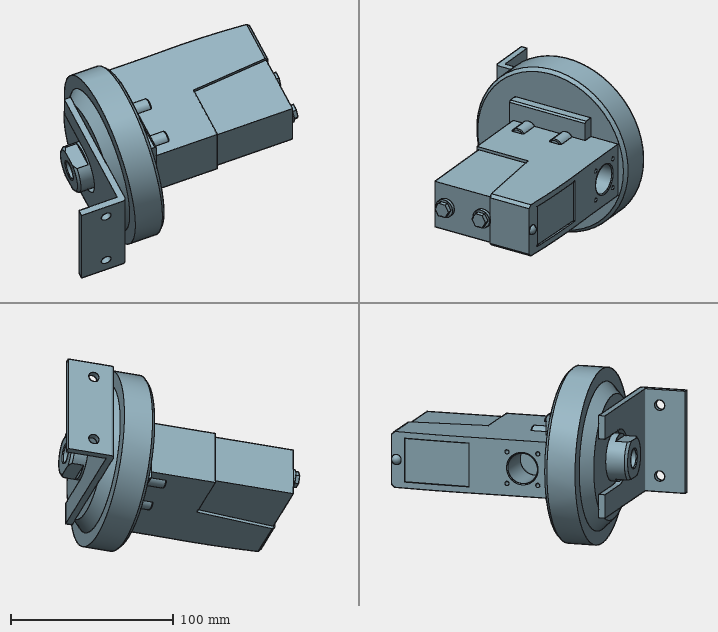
import cadquery as cq
import math


disc_diameter = 110.0
disc_radius = disc_diameter / 2
disc_thickness = 20.2
disc_chamfer = 2.1
cone_base_radius = 46.3
cone_length = 7.1
cone_front_y = -disc_thickness - cone_length

hub_radius = 14.9
hub_length = 13.6
hub_chamfer = 1.6
hub_flat_half_width = 12.0
hub_flat_length = 9.0
hub_bore_radius = 5.8
hub_bore_depth = 19.5
hub_bore_chamfer = 0.6

bracket_front_y = -57.2
bracket_left_x = -29.2
overall_width = 112.0
bracket_right_x = overall_width - disc_radius
bracket_half_height = 32.2
bracket_thickness = 4.2
bracket_seat_depth = 0.2
bracket_outer_radius = 2.3
bracket_inner_radius = 0.5
bracket_slot_radius = 17.5
bracket_hole_radius = 3.2
bracket_hole_y = -40.7
bracket_hole_z = 22.4

flange_center_x = -1.8
flange_center_z = 3.0
flange_width = 54.9
flange_thickness = 6.6
flange_chamfer = 1.1
stud_radius = 5.0
stud_end_y = 19.6
stud_chamfer = 0.6
stud_spacing_x = 27.2
stud_spacing_z = 30.1

housing_half_height = 17.7
housing_left_x = -49.0
housing_right_x = 23.0
bulge_start_y = 31.8
bulge_peak_y = 55.2
bulge_peak_x = -49.2
cover_rear_y = 100.8
cover_rear_x = -47.3
cover_chamfer = 2.0
cover_edge_front_x = -14.1
cover_edge_rear_x = -19.0
rear_box_front_y = 48.8
rear_box_rear_y = 99.6
rear_box_right_x = 21.9
rear_box_half_height = 15.7

label_front_y = 50.2
label_rear_y = 92.2
label_half_height = 13.8
label_depth = 1.1

port_y = 15.7
port_radius = 9.5
port_depth = 26.0
port_chamfer = 0.6
port_screw_spacing = 20.0
port_screw_radius = 1.3
port_screw_depth = 6.5

cover_screw_y = 97.5
cover_screw_radius = 3.2
cover_screw_tip_x = -50.0
cover_screw_root_x = -47.6
bolt_positions_x = (-13.3, 13.6)
washer_radius = 6.0
washer_thickness = 2.3
hex_corner_diameter = 9.9
hex_height = 2.9

embed = 1.6


def block(x_range, y_range, half_height):
    """Box centred on Z = 0."""
    width = x_range[1] - x_range[0]
    depth = y_range[1] - y_range[0]
    base = cq.Workplane("XY", origin=(x_range[0], y_range[0], -half_height))
    return base.box(width, depth, 2 * half_height, centered=False)


def plane_facing_rear(y, x=0, z=0):
    """Sketch plane whose extrusions go towards +Y."""
    return cq.Workplane(cq.Plane(origin=(x, y, z), xDir=(1, 0, 0), normal=(0, 1, 0)))


def plane_facing_right(x, y=0, z=0):
    """Sketch plane whose extrusions go towards +X."""
    return cq.Workplane("YZ", origin=(x, y, z))


def side_x(y):
    """X of the curved left side of the cover, for Y behind the bulge peak."""
    share = (y - bulge_peak_y) / (cover_rear_y - bulge_peak_y)
    return bulge_peak_x + (cover_rear_x - bulge_peak_x) * share ** 2


def make_disc():
    profile = (
        cq.Workplane("XY")
        .moveTo(0, 0)
        .lineTo(-disc_radius + disc_chamfer, 0)
        .lineTo(-disc_radius, -disc_chamfer)
        .lineTo(-disc_radius, -disc_thickness)
        .lineTo(-cone_base_radius, -disc_thickness)
        .lineTo(-cone_base_radius + cone_length, cone_front_y)
        .lineTo(0, cone_front_y)
        .close()
    )
    return profile.revolve(360, (0, 0, 0), (0, 1, 0))


def make_hub():
    front_y = cone_front_y - hub_length
    hub = plane_facing_rear(front_y).circle(hub_radius).extrude(hub_length + embed)
    hub = hub.faces("<Y").chamfer(hub_chamfer)
    for side in (1, -1):
        offset = side * (hub_flat_half_width + hub_radius)
        flat = plane_facing_rear(front_y, z=offset).rect(2 * hub_radius, 2 * hub_radius)
        hub = hub.cut(flat.extrude(hub_flat_length))
    return hub


def make_hub_bore():
    front_y = cone_front_y - hub_length
    bore = plane_facing_rear(front_y).circle(hub_bore_radius).extrude(hub_bore_depth)
    mouth = cq.Solid.makeCone(
        hub_bore_radius + hub_bore_chamfer, hub_bore_radius, hub_bore_chamfer,
        cq.Vector(0, front_y, 0), cq.Vector(0, 1, 0),
    )
    return bore.union(cq.Workplane(mouth))


def make_bracket():
    leg_left_x = bracket_right_x - bracket_thickness
    plate_rear_y = cone_front_y + bracket_seat_depth
    plate_front_y = plate_rear_y - bracket_thickness
    bracket = block((bracket_left_x, bracket_right_x), (plate_front_y, plate_rear_y), bracket_half_height)
    leg = block((leg_left_x, bracket_right_x), (bracket_front_y, plate_rear_y), bracket_half_height)
    bracket = bracket.union(leg)
    bracket = bracket.edges("|Z").edges(">X and >Y").fillet(bracket_outer_radius)
    inner_corner = cq.selectors.NearestToPointSelector((leg_left_x, plate_front_y, 0))
    bracket = bracket.edges("|Z").edges(inner_corner).fillet(bracket_inner_radius)

    slot_end = plane_facing_rear(plate_front_y).circle(bracket_slot_radius).extrude(bracket_thickness)
    slot_run = block((bracket_left_x, 0), (plate_front_y, plate_rear_y), bracket_slot_radius)
    bracket = bracket.cut(slot_end).cut(slot_run)

    for z in (bracket_hole_z, -bracket_hole_z):
        hole = plane_facing_right(leg_left_x, bracket_hole_y, z).circle(bracket_hole_radius)
        bracket = bracket.cut(hole.extrude(bracket_thickness))
    return bracket


def make_flange():
    flange = plane_facing_rear(-embed, flange_center_x, flange_center_z).rect(flange_width, flange_width)
    flange = flange.extrude(flange_thickness + embed)
    flange = flange.faces(">Y").edges("|X").chamfer(flange_chamfer)
    stud = plane_facing_rear(0).circle(stud_radius).extrude(stud_end_y)
    stud = stud.faces(">Y").chamfer(stud_chamfer)
    for side_of_x in (1, -1):
        for side_of_z in (1, -1):
            x = flange_center_x + side_of_x * stud_spacing_x / 2
            z = side_of_z * stud_spacing_z / 2
            flange = flange.union(stud.translate((x, 0, z)))
    return flange


def make_housing():
    middle_y = (bulge_peak_y + cover_rear_y) / 2
    outline = (
        cq.Workplane("XY", origin=(0, 0, -housing_half_height))
        .moveTo(housing_left_x, -embed)
        .lineTo(housing_left_x, bulge_start_y)
        .lineTo(bulge_peak_x, bulge_peak_y)
        .threePointArc((side_x(middle_y), middle_y), (cover_rear_x, cover_rear_y))
        .lineTo(cover_edge_rear_x, cover_rear_y)
        .lineTo(cover_edge_front_x, rear_box_front_y)
        .lineTo(housing_right_x, rear_box_front_y)
        .lineTo(housing_right_x, -embed)
        .close()
    )
    housing = outline.extrude(2 * housing_half_height)
    housing = housing.faces(">Y").edges("|X").chamfer(cover_chamfer)
    rear_box = block(
        (cover_edge_rear_x - embed, rear_box_right_x),
        (rear_box_front_y - embed, rear_box_rear_y),
        rear_box_half_height,
    )
    return housing.union(rear_box)


def make_label_recess():
    rear_x = side_x(label_rear_y)
    outside_x = housing_left_x - embed
    outline = cq.Workplane("XY", origin=(0, 0, -label_half_height)).polyline([
        (outside_x, label_front_y),
        (bulge_peak_x + label_depth, label_front_y),
        (rear_x + label_depth, label_rear_y),
        (outside_x, label_rear_y),
    ]).close()
    return outline.extrude(2 * label_half_height)


def make_cable_entry():
    entry = plane_facing_right(housing_left_x, port_y).circle(port_radius).extrude(port_depth)
    mouth = cq.Solid.makeCone(
        port_radius + port_chamfer, port_radius, port_chamfer,
        cq.Vector(housing_left_x, port_y, 0), cq.Vector(1, 0, 0),
    )
    entry = entry.union(cq.Workplane(mouth))
    screw_holes = (
        plane_facing_right(housing_left_x, port_y)
        .rect(port_screw_spacing, port_screw_spacing, forConstruction=True)
        .vertices()
        .circle(port_screw_radius)
        .extrude(port_screw_depth)
    )
    return entry.union(screw_holes)


def make_cover_screw():
    height = cover_screw_root_x - cover_screw_tip_x
    sphere_radius = (cover_screw_radius ** 2 + height ** 2) / (2 * height)
    middle_y = cover_screw_radius / 2
    middle_x = cover_screw_tip_x + sphere_radius - math.sqrt(sphere_radius ** 2 - middle_y ** 2)
    profile = (
        cq.Workplane("XY", origin=(0, cover_screw_y, 0))
        .moveTo(cover_screw_tip_x, 0)
        .threePointArc((middle_x, middle_y), (cover_screw_root_x, cover_screw_radius))
        .lineTo(cover_screw_root_x + embed, cover_screw_radius)
        .lineTo(cover_screw_root_x + embed, 0)
        .close()
    )
    return profile.revolve(360, (0, 0, 0), (1, 0, 0))


def make_rear_bolt(x):
    washer = plane_facing_rear(rear_box_rear_y - embed, x=x).circle(washer_radius)
    washer = washer.extrude(washer_thickness + embed)
    head = plane_facing_rear(rear_box_rear_y, x=x).polygon(6, hex_corner_diameter)
    return washer.union(head.extrude(washer_thickness + hex_height))


result = make_disc().union(make_hub()).union(make_bracket())
result = result.union(make_flange()).union(make_housing())
result = result.union(make_cover_screw())
for bolt_x in bolt_positions_x:
    result = result.union(make_rear_bolt(bolt_x))
result = result.cut(make_hub_bore()).cut(make_label_recess()).cut(make_cable_entry())